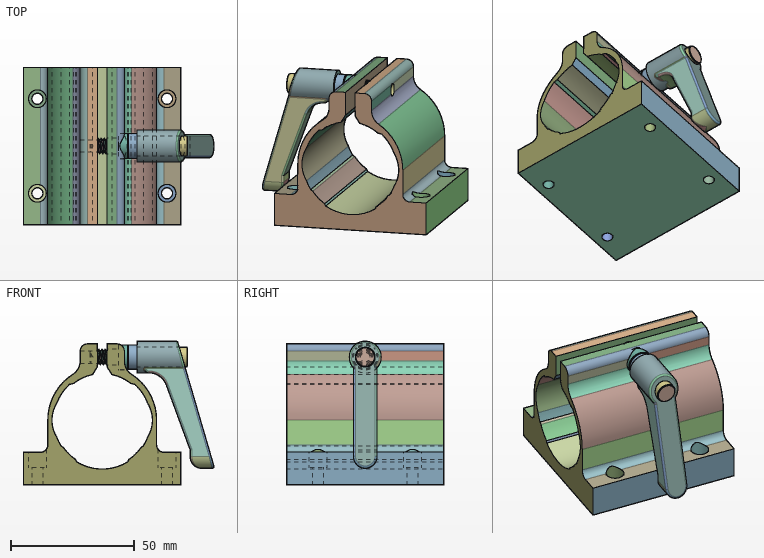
import cadquery as cq
import math

BASE_SIZE = 63.5
BASE_HEIGHT = 13.2
BODY_RADIUS = 22.0
RING_HEIGHT = 26.15
BASE_FILLET = 2.9

EAR_HALF_WIDTH = 8.9
EAR_TOP = 57.0
EAR_ROUND = 3.0
EAR_FOOT = 50.1
SLOT_HALF_WIDTH = 2.0
SLOT_FOOT = 47.5

BOTTOM_RADIUS = 19.7
LOWER_PAD_RADIUS = 19.15
FLANK_RADIUS = 19.5
RELIEF_RADIUS = 20.2
UPPER_PAD_RADIUS = 18.8
BOTTOM_END = -58.5
LOWER_PAD_START = -56.0
LOWER_PAD_END = -35.0
FLANK_START = -32.0
RELIEF_HALF_ANGLE = 20.5
FLANK_END = 47.5
UPPER_PAD_START = 52.0
UPPER_PAD_END = 78.0

MOUNT_X = 26.15
MOUNT_Y = 19.1
MOUNT_HOLE = 4.4
MOUNT_COUNTERBORE = 7.15
COUNTERBORE_DEPTH = 6.15

STUD_HEIGHT = 51.6
STUD_DIAMETER = 6.4
THREAD_CORE = 5.0
THREAD_PITCH = 1.27
THREAD_ROOT_OVERLAP = 0.1
TOOTH_HALF_WIDTH = 0.45 * THREAD_PITCH
POINT_DIAMETER = 3.85
POINT_X = -5.0
CUP_DEPTH = 1.2
SPOTFACE = 10.3
COLLAR_DIAMETER = 9.9
COLLAR_START = 6.5
GROOVE_START = 10.2
GROOVE_WIDTH = 0.4
GROOVE_DIAMETER = 9.4
BUTTON_DIAMETER = 8.0
BUTTON_END = 34.45
BUTTON_CHAMFER = 0.3

HUB_DIAMETER = 12.9
HUB_START = 14.1
LEVER_THICKNESS = 9.45
LEVER_BOTTOM = 6.7
LEVER_TOP = 53.1
BACK_TOP_X = 30.4
BACK_BOTTOM_X = 45.4
LEVER_EDGE = 0.8
JOINT_TOLERANCE = 0.1
HEEL_X = 17.0
HEEL_ROUND = 1.85
HEEL_BOTTOM = 45.2
NECK_END = (25.85, 40.3)
GRIP_X = 35.45
GRIP_TOP = 14.15


def bore_point(radius, angle):
    """Point on a circle about the ring centre, at an angle above the horizontal."""
    turn = math.radians(angle)
    return radius * math.cos(turn), RING_HEIGHT + radius * math.sin(turn)


def bore_arc(outline, radius, start, end):
    """Continue the outline along a bore arc that starts where the outline stands."""
    return outline.threePointArc(bore_point(radius, (start + end) / 2), bore_point(radius, end))


def stepped_bore_arc(outline, radius, start, end):
    """Step across to a bore arc of another radius, then follow it."""
    return bore_arc(outline.lineTo(*bore_point(radius, start)), radius, start, end)


def x_cylinder(diameter, start, end):
    """Cylinder on the stud axis between two X positions."""
    plane = cq.Plane((start, 0, STUD_HEIGHT), xDir=(0, 1, 0), normal=(1, 0, 0))
    return cq.Workplane(plane).circle(diameter / 2).extrude(end - start)


def clamp_half():
    """Right half of the clamp extrusion, up to the middle plane."""
    rise = EAR_FOOT - RING_HEIGHT
    blend = (EAR_HALF_WIDTH**2 + rise**2 - BODY_RADIUS**2) / (2 * (BODY_RADIUS - EAR_HALF_WIDTH))
    blend_x = EAR_HALF_WIDTH + blend
    foot_angle = math.degrees(math.atan2(rise, blend_x))
    ring_foot = bore_point(BODY_RADIUS, foot_angle)
    half_turn = math.radians((180 + 180 + foot_angle) / 2)
    blend_middle = (blend_x + blend * math.cos(half_turn), EAR_FOOT + blend * math.sin(half_turn))

    outline = (
        cq.Workplane("XZ")
        .lineTo(BASE_SIZE / 2, 0)
        .lineTo(BASE_SIZE / 2, BASE_HEIGHT)
        .lineTo(BODY_RADIUS + BASE_FILLET, BASE_HEIGHT)
        .radiusArc((BODY_RADIUS, BASE_HEIGHT + BASE_FILLET), BASE_FILLET)
        .lineTo(BODY_RADIUS, RING_HEIGHT)
        .threePointArc(bore_point(BODY_RADIUS, foot_angle / 2), ring_foot)
        .threePointArc(blend_middle, (EAR_HALF_WIDTH, EAR_FOOT))
        .lineTo(EAR_HALF_WIDTH, EAR_TOP - EAR_ROUND)
        .tangentArcPoint((EAR_HALF_WIDTH - EAR_ROUND, EAR_TOP), relative=False)
        .lineTo(SLOT_HALF_WIDTH, EAR_TOP)
        .lineTo(SLOT_HALF_WIDTH, SLOT_FOOT)
    )
    outline = stepped_bore_arc(outline, UPPER_PAD_RADIUS, UPPER_PAD_END, UPPER_PAD_START)
    outline = stepped_bore_arc(outline, FLANK_RADIUS, FLANK_END, RELIEF_HALF_ANGLE)
    outline = outline.threePointArc(
        bore_point(RELIEF_RADIUS, 0), bore_point(FLANK_RADIUS, -RELIEF_HALF_ANGLE)
    )
    outline = bore_arc(outline, FLANK_RADIUS, -RELIEF_HALF_ANGLE, FLANK_START)
    outline = stepped_bore_arc(outline, LOWER_PAD_RADIUS, LOWER_PAD_END, LOWER_PAD_START)
    outline = stepped_bore_arc(outline, BOTTOM_RADIUS, BOTTOM_END, -90)
    return outline.close().extrude(BASE_SIZE / 2, both=True)


def make_housing():
    half = clamp_half()
    housing = half.union(half.mirror("YZ"))
    mounts = [(x, y) for x in (-MOUNT_X, MOUNT_X) for y in (-MOUNT_Y, MOUNT_Y)]
    holes = cq.Workplane("XY").pushPoints(mounts).circle(MOUNT_HOLE / 2).extrude(BASE_HEIGHT)
    counterbores = (
        cq.Workplane("XY")
        .workplane(offset=BASE_HEIGHT - COUNTERBORE_DEPTH)
        .pushPoints(mounts)
        .circle(MOUNT_COUNTERBORE / 2)
        .extrude(COUNTERBORE_DEPTH + BASE_FILLET)
    )
    housing = housing.cut(holes).cut(counterbores)
    housing = housing.cut(x_cylinder(THREAD_CORE, -BODY_RADIUS, 0))
    housing = housing.cut(x_cylinder(STUD_DIAMETER, 0, EAR_HALF_WIDTH))
    return housing.cut(x_cylinder(SPOTFACE, COLLAR_START, HUB_START))


def make_thread():
    """Helical ridge on the stretch of stud that crosses the slot."""
    core = THREAD_CORE / 2
    crest = STUD_DIAMETER / 2
    root = core - THREAD_ROOT_OVERLAP
    start = -SLOT_HALF_WIDTH - THREAD_PITCH
    path = cq.Wire.makeHelix(THREAD_PITCH, 2 * SLOT_HALF_WIDTH + 2 * THREAD_PITCH, core)
    ridge = (
        cq.Workplane("XZ")
        .moveTo(root, -TOOTH_HALF_WIDTH)
        .lineTo(crest, 0)
        .lineTo(root, TOOTH_HALF_WIDTH)
        .close()
        .sweep(cq.Workplane(path), isFrenet=True)
    )
    ridge = ridge.rotate((0, 0, 0), (0, 1, 0), 90).translate((start, 0, STUD_HEIGHT))
    return ridge.intersect(x_cylinder(2 * STUD_DIAMETER, -SLOT_HALF_WIDTH, SLOT_HALF_WIDTH))


def make_stud():
    tip = x_cylinder(THREAD_CORE, POINT_X, SLOT_HALF_WIDTH)
    tip = tip.faces("<X").chamfer((THREAD_CORE - POINT_DIAMETER) / 2)
    cup = cq.Solid.makeCone(
        POINT_DIAMETER / 2, 0, CUP_DEPTH, pnt=cq.Vector(POINT_X, 0, STUD_HEIGHT), dir=cq.Vector(1, 0, 0)
    )
    tip = tip.cut(cq.Workplane(cup))
    shank = x_cylinder(STUD_DIAMETER, SLOT_HALF_WIDTH, COLLAR_START)
    collar = x_cylinder(COLLAR_DIAMETER, COLLAR_START, HUB_START)
    groove_end = GROOVE_START + GROOVE_WIDTH
    groove = x_cylinder(2 * COLLAR_DIAMETER, GROOVE_START, groove_end)
    groove = groove.cut(x_cylinder(GROOVE_DIAMETER, GROOVE_START, groove_end))
    button = x_cylinder(BUTTON_DIAMETER, HUB_START, BUTTON_END)
    button = button.faces(">X").chamfer(BUTTON_CHAMFER)
    return tip.union(make_thread()).union(shank).union(collar.cut(groove)).union(button)


def make_lever():
    """Lever arm with rounded front edges, running past the sloping back face."""
    half = LEVER_THICKNESS / 2
    front_profile = (
        cq.Workplane("XZ")
        .moveTo(HEEL_X, LEVER_TOP)
        .lineTo(HEEL_X, HEEL_BOTTOM + HEEL_ROUND)
        .radiusArc((HEEL_X + HEEL_ROUND, HEEL_BOTTOM), -HEEL_ROUND)
        .tangentArcPoint(NECK_END, relative=False)
        .lineTo(GRIP_X, GRIP_TOP)
        .lineTo(GRIP_X, LEVER_BOTTOM + half)
        .tangentArcPoint((GRIP_X + half, LEVER_BOTTOM), relative=False)
        .lineTo(BASE_SIZE, LEVER_BOTTOM)
        .lineTo(BASE_SIZE, LEVER_TOP)
        .close()
        .extrude(half, both=True)
    )
    round_ended_section = (
        cq.Workplane("YZ")
        .moveTo(-half, LEVER_TOP)
        .lineTo(-half, LEVER_BOTTOM + half)
        .threePointArc((0, LEVER_BOTTOM), (half, LEVER_BOTTOM + half))
        .lineTo(half, LEVER_TOP)
        .close()
        .extrude(BASE_SIZE)
    )
    lever = front_profile.intersect(round_ended_section)
    side_edges = lever.edges("not |Y").vals()
    front_edges = [edge for edge in side_edges if edge.BoundingBox().xmax < BACK_BOTTOM_X]
    return lever.newObject(front_edges).fillet(LEVER_EDGE)


def make_handle():
    hub_top = STUD_HEIGHT + HUB_DIAMETER / 2
    far_x = 2 * BASE_SIZE
    handle = make_lever().union(x_cylinder(HUB_DIAMETER, HUB_START, far_x))

    joint_height = STUD_HEIGHT - math.sqrt(HUB_DIAMETER**2 - LEVER_THICKNESS**2) / 2
    joint = cq.selectors.BoxSelector(
        (HEEL_X, -LEVER_THICKNESS, joint_height - JOINT_TOLERANCE),
        (far_x, LEVER_THICKNESS, joint_height + JOINT_TOLERANCE),
    )
    handle = handle.edges("|X").edges(joint).fillet(LEVER_EDGE)

    behind = (
        cq.Workplane("XZ")
        .moveTo(BACK_TOP_X, hub_top)
        .lineTo(BACK_BOTTOM_X, LEVER_BOTTOM)
        .lineTo(far_x, LEVER_BOTTOM)
        .lineTo(far_x, hub_top)
        .close()
        .extrude(BASE_SIZE, both=True)
    )
    handle = handle.cut(behind)
    back_normal = cq.Vector(hub_top - LEVER_BOTTOM, 0, BACK_BOTTOM_X - BACK_TOP_X)
    back_face = cq.selectors.DirectionMinMaxSelector(back_normal)
    handle = handle.faces(back_face).edges().fillet(LEVER_EDGE)
    return handle.cut(x_cylinder(BUTTON_DIAMETER, HUB_START, BUTTON_END))


housing = make_housing()
stud = make_stud()
handle = make_handle()

result = cq.Compound.makeCompound([housing.val(), stud.val(), handle.val()])